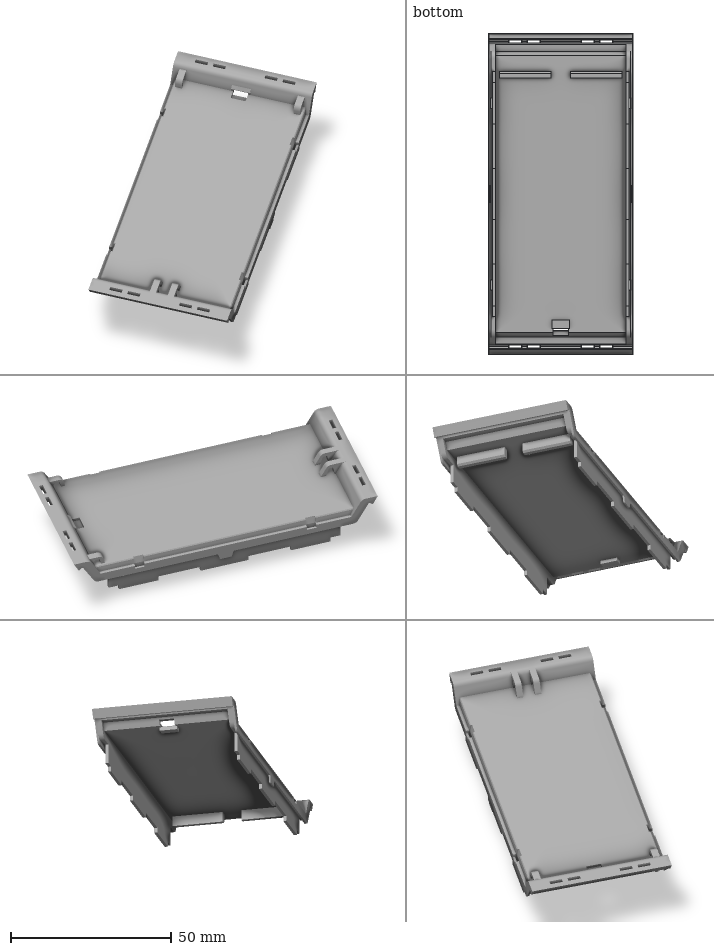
import cadquery as cq
import math

width = 45.0
length = 100.0
height = 15.5
half_width = width / 2
half_length = length / 2

leg_bottom = 1.6
tab_bottom = 4.1
skin_bottom = 6.3
shelf_bottom = 7.7
ledge_top = 9.3
plate_bottom = 10.4
plate_top = 11.4
lip_bottom = 12.7
lip_groove = 13.4

overlap = 0.5

wall_angle = math.radians(60)
inner_crest = 44.9
outer_crest = 48.3
crest_radius = 1.9
skin_radius = 1.8
shelf_radius = 2.4
middle_wall = 1.2

lip_tip_outer = 48.5
lip_tip_inner = 48.1
lip_groove_outer = 47.5

skin_thickness = 0.7
skin_inner = half_width - skin_thickness
beam_inner = 20.3
plate_foot = 21.5
plate_shoulder = 21.2
rim_chamfer = 0.3
plate_rim = plate_shoulder - rim_chamfer

leg_outer = 21.3
leg_half_length = 38.2
end_foot_inner = 21.8
end_foot_outer = 34.8
middle_foot_half = 7.9

tab_thickness = 0.5
tab_top_half = 2.6
tab_bottom_half = 1.9

notch_y = 28.3
notch_length = 3.2
notch_bottom = 8.1
notch_inner = 20.5
notch_inner_bottom = 21.3

slot_centres = (8.4, 14.2)
slot_length = 4.0
slot_outer = 48.3
slot_outer_bottom = 48.0
slot_inner = 47.1

back_loop_centre = 19.2
back_loop_width = 2.2
back_loop_top = 14.3
back_loop_foot = 39.1
back_loop_crest = 39.6
back_loop_radius = 1.9
back_window_foot = 40.4
back_window_crest = 40.8
back_window_back = 42.2
back_window_top = 13.3
back_window_side = 12.5
front_loop_centre = 2.9
front_loop_width = 2.0
front_loop_foot = 37.6
front_window_foot = 39.4
front_window_crest = 40.3
front_window_back = 41.8
front_window_heel = 42.2
front_window_top = 14.2
window_radius = 0.4

pocket_half_width = 2.4
pocket_front = 39.7
pocket_back = 41.9
cup_half_width = 2.8
cup_bottom = 9.3
cup_front = 39.3
window_top = 12.1
catch_half_width = 3.1
catch_top = 13.1
catch_nose = 12.3

rib_inner = 3.0
rib_outer = 19.1
rib_bottom = 7.2
rib_chamfer = 0.6
rib_thickness = 2.0
rib_front = -leg_half_length


def inner_slope(z):
    """Y of the inner face of the back end wall at height z."""
    return inner_crest - (height - z) / math.tan(wall_angle)


def outer_slope(z):
    """Y of the outer face of the back end wall at height z."""
    return outer_crest - (height - z) / math.tan(wall_angle)


def side_prism(points, x_start, x_end):
    """Extrude an outline of (Y, Z) points from x_start to x_end."""
    plane = cq.Workplane("YZ").workplane(offset=x_start)
    return plane.polyline(points).close().extrude(x_end - x_start)


def box(x_range, y_range, z_range):
    """Box between the given limits."""
    lows, highs = zip(x_range, y_range, z_range)
    sizes = [high - low for low, high in zip(lows, highs)]
    return cq.Workplane("XY").box(*sizes, centered=False).translate(lows)


def both_sides(solid):
    """The solid and its mirror image across the YZ plane."""
    return solid.union(solid.mirror("YZ"))


def round_corners(prism, x, corners, radius):
    """Round the edges along X that pass through the given (Y, Z) corners."""
    edges = [
        prism.edges("|X").edges(cq.NearestToPointSelector((x, y, z))).val()
        for y, z in corners
    ]
    return prism.newObject(edges).fillet(radius)


def beam(bottom, bottom_radius, x_start, x_end):
    """Tray profile with both end walls and lips, extruded from x_start to x_end."""
    half = [
        (inner_slope(ledge_top), ledge_top),
        (inner_crest, height),
        (half_length, height),
        (lip_tip_outer, lip_bottom),
        (lip_tip_inner, lip_bottom),
        (lip_groove_outer, lip_groove),
        (outer_slope(lip_groove), lip_groove),
        (outer_slope(bottom), bottom),
    ]
    body = side_prism(half + [(-y, z) for y, z in reversed(half)], x_start, x_end)
    x_middle = (x_start + x_end) / 2
    crests = [(side * inner_crest, height) for side in (1, -1)]
    heels = [(side * outer_slope(bottom), bottom) for side in (1, -1)]
    body = round_corners(body, x_middle, crests, crest_radius)
    return round_corners(body, x_middle, heels, bottom_radius)


def plate():
    """Raised plate with drafted sides and a chamfered rim."""
    half = [
        (plate_foot, ledge_top),
        (plate_shoulder, plate_top - rim_chamfer),
        (plate_rim, plate_top),
    ]
    outline = half + [(-x, z) for x, z in reversed(half)]
    reach = inner_slope(plate_top)
    return cq.Workplane("XZ").polyline(outline).close().extrude(reach, both=True)


def middle_hollow():
    """Space between the side beams, below the plate and behind the thin end walls."""
    half = [
        (inner_slope(plate_bottom) + middle_wall, plate_bottom),
        (inner_slope(lip_bottom) + middle_wall, lip_bottom),
        (outer_slope(lip_bottom), lip_bottom),
        (outer_slope(0), 0),
    ]
    outline = half + [(-y, z) for y, z in reversed(half)]
    return side_prism(outline, -beam_inner, beam_inner)


def tray():
    """Side beams joined by the end walls and the plate."""
    shell = beam(shelf_bottom, shelf_radius, -half_width, half_width)
    skin = beam(skin_bottom, skin_radius, skin_inner, half_width)
    return shell.union(both_sides(skin)).union(plate()).cut(middle_hollow())


def legs():
    """Long legs under the side beams, each with three feet."""
    x_range = (beam_inner, leg_outer)
    leg = box(x_range, (-leg_half_length, leg_half_length), (leg_bottom, ledge_top))
    feet = (
        (-end_foot_outer, -end_foot_inner),
        (-middle_foot_half, middle_foot_half),
        (end_foot_inner, end_foot_outer),
    )
    for y_range in feet:
        leg = leg.union(box(x_range, y_range, (0, leg_bottom)))
    return both_sides(leg)


def skin_tabs():
    """Tapered tabs hanging from the outside of the skins."""
    outline = [
        (-tab_top_half, skin_bottom),
        (-tab_bottom_half, tab_bottom),
        (tab_bottom_half, tab_bottom),
        (tab_top_half, skin_bottom),
    ]
    return both_sides(side_prism(outline, half_width - tab_thickness, half_width))


def side_notches():
    """Notches through the ledges, each with an inner face that slopes above the ledge."""
    outline = [
        (half_width, notch_bottom),
        (skin_inner, notch_bottom),
        (skin_inner, shelf_bottom),
        (notch_inner_bottom, shelf_bottom),
        (notch_inner_bottom, ledge_top),
        (notch_inner, plate_top),
        (half_width, plate_top),
    ]
    notch = cq.Workplane("XZ").polyline(outline).close().extrude(notch_length / 2, both=True)
    pair = both_sides(notch)
    return pair.translate((0, notch_y, 0)).union(pair.translate((0, -notch_y, 0)))


def lip_slots():
    """Slots down through both lips, with a tapered outer wall."""
    outline = [
        (slot_inner, lip_bottom),
        (slot_outer_bottom, lip_bottom),
        (slot_outer, height),
        (slot_inner, height),
    ]
    slots = cq.Workplane("XY")
    for centre in slot_centres:
        slot = side_prism(outline, centre - slot_length / 2, centre + slot_length / 2)
        slots = slots.union(both_sides(slot))
    return slots.union(slots.mirror("XZ"))


def loop_pair(outline, crest, crest_round, window, window_corners, centre, loop_width):
    """Two strap loops, each a rounded block with a rounded window through it."""
    x_start = centre - loop_width / 2
    x_end = centre + loop_width / 2
    block = round_corners(side_prism(outline, x_start, x_end), centre, [crest], crest_round)
    opening = side_prism(window, x_start, x_end)
    opening = round_corners(opening, centre, window_corners, window_radius)
    return both_sides(block.cut(opening))


def back_loops():
    """Low loops near the corners of the back wall."""
    crest = (back_loop_crest, back_loop_top)
    outline = [
        (back_loop_foot, plate_top),
        crest,
        (inner_slope(back_loop_top) + overlap, back_loop_top),
        (inner_slope(plate_top) + overlap, plate_top),
    ]
    window_corners = [
        (back_window_crest, back_window_top),
        (back_window_back, back_window_top),
    ]
    window = [
        (back_window_foot, plate_top),
        *window_corners,
        (inner_slope(back_window_side), back_window_side),
        (inner_slope(plate_top), plate_top),
    ]
    return loop_pair(
        outline, crest, back_loop_radius, window, window_corners, back_loop_centre, back_loop_width
    )


def front_loops():
    """Tall loops at the middle of the front wall, level with the top face."""
    rise = (height - plate_top) / math.tan(wall_angle)
    crest = (-front_loop_foot - rise, height)
    outline = [
        (-front_loop_foot, plate_top),
        crest,
        (-inner_crest - crest_radius, height),
        (-inner_slope(plate_top) - overlap, plate_top),
    ]
    window_corners = [
        (-front_window_crest, front_window_top),
        (-front_window_back, front_window_top),
    ]
    window = [
        (-front_window_foot, plate_top),
        *window_corners,
        (-front_window_heel, plate_top),
    ]
    return loop_pair(
        outline, crest, crest_radius, window, window_corners, front_loop_centre, front_loop_width
    )


def latch_cup():
    """Thickening under the plate that forms the floor of the latch pocket."""
    return box((-cup_half_width, cup_half_width), (cup_front, pocket_back), (cup_bottom, plate_bottom))


def latch_catch():
    """Sloping catch that stands out from the back wall over the window."""
    catch_front = inner_slope(plate_top)
    outline = [
        (catch_front, plate_top),
        (catch_front, catch_nose),
        (inner_slope(catch_top), catch_top),
        (inner_slope(catch_top) + overlap, catch_top),
        (catch_front + overlap, plate_top),
    ]
    return side_prism(outline, -catch_half_width, catch_half_width)


def latch_opening():
    """Pocket in the plate and a window behind it, out through the back wall."""
    x_range = (-pocket_half_width, pocket_half_width)
    pocket = box(x_range, (pocket_front, pocket_back), (plate_bottom, plate_top))
    window = box(x_range, (pocket_back, outer_slope(window_top)), (cup_bottom, window_top))
    return pocket.union(window)


def cross_ribs():
    """Ribs below the plate with a chamfered lower front edge."""
    rib = box(
        (rib_inner, rib_outer),
        (rib_front, rib_front + rib_thickness),
        (rib_bottom, plate_bottom),
    )
    rib = rib.faces("<Z").edges("<Y").chamfer(rib_chamfer)
    return both_sides(rib)


result = (
    tray()
    .union(legs())
    .union(skin_tabs())
    .union(latch_cup())
    .union(latch_catch())
    .union(cross_ribs())
    .union(back_loops())
    .union(front_loops())
    .cut(side_notches())
    .cut(lip_slots())
    .cut(latch_opening())
)